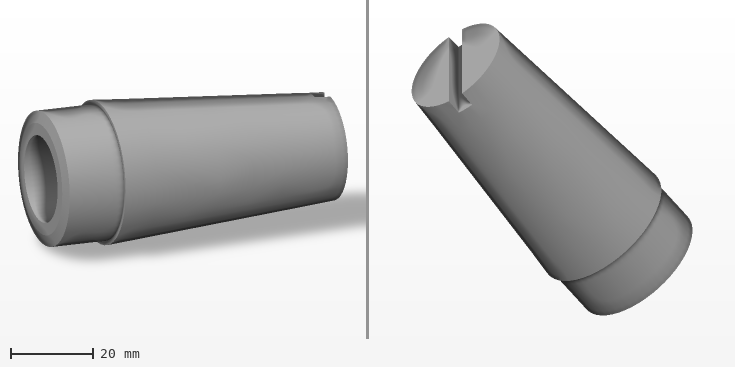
import cadquery as cq
import math

total_length = 75.0
spigot_length = 15.0

spigot_diameter = 33.3
shoulder_diameter = 35.5
slotted_end_diameter = 26.5
open_face_diameter = 27.5
chamfer_angle = 15.0

bore_diameter = 21.5
floor_diameter = 15.0
bore_taper_length = 47.0

slot_width = 4.0
slot_depth = 4.0


def make_body():
    """Solid of revolution: chamfered spigot, shoulder and long taper."""
    chamfer_width = (spigot_diameter - open_face_diameter) / 2
    chamfer_length = chamfer_width * math.tan(math.radians(chamfer_angle))
    profile = (
        cq.Workplane("XY")
        .moveTo(0, 0)
        .lineTo(open_face_diameter / 2, 0)
        .lineTo(spigot_diameter / 2, chamfer_length)
        .lineTo(spigot_diameter / 2, spigot_length)
        .lineTo(shoulder_diameter / 2, spigot_length)
        .lineTo(slotted_end_diameter / 2, total_length)
        .lineTo(0, total_length)
        .close()
    )
    return profile.revolve(360, (0, 0, 0), (0, 1, 0))


def make_bore():
    """Volume of the blind bore, narrowing to the flat floor."""
    floor_depth = spigot_length + bore_taper_length
    profile = (
        cq.Workplane("XY")
        .moveTo(0, 0)
        .lineTo(bore_diameter / 2, 0)
        .lineTo(bore_diameter / 2, spigot_length)
        .lineTo(floor_diameter / 2, floor_depth)
        .lineTo(0, floor_depth)
        .close()
    )
    return profile.revolve(360, (0, 0, 0), (0, 1, 0))


def make_slot():
    """Volume of the slot, cut right across the slotted end."""
    slot = cq.Workplane("XY").box(slot_width, slot_depth, shoulder_diameter)
    return slot.translate((0, total_length - slot_depth / 2, 0))


result = make_body().cut(make_bore()).cut(make_slot())